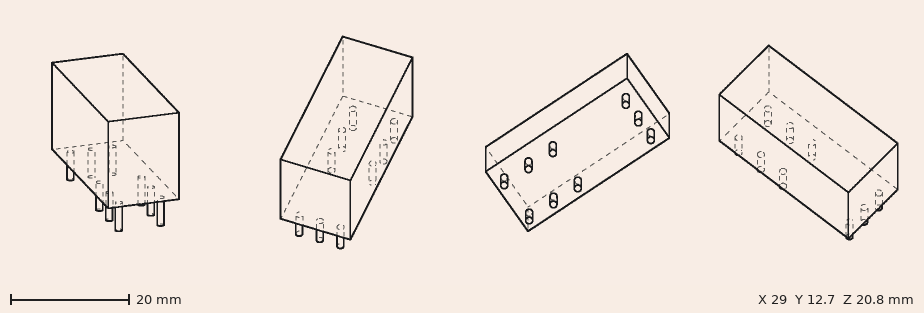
import cadquery as cq

housing_length = 29.0
housing_width = 12.7
overall_height = 20.8
pin_length = 5.05
housing_height = overall_height - pin_length

pin_diameter = 1.2
column_pitch = 5.0
pair_count = 3
column_span = 5 * column_pitch
row_pitch = 3.75
end_column_x = column_span / 2

outer_rows = [-row_pitch, row_pitch]
all_rows = [-row_pitch, 0, row_pitch]
pair_columns = [end_column_x - i * column_pitch for i in range(pair_count)]

pin_positions = [(-end_column_x, y) for y in all_rows]
pin_positions += [(x, y) for x in pair_columns for y in outer_rows]


def make_housing():
    """Solid block with its underside at Z = 0."""
    return cq.Workplane("XY").box(
        housing_length, housing_width, housing_height, centered=(True, True, False)
    )


def make_pin(x, y):
    """Round pin hanging from the underside of the housing."""
    return cq.Workplane("XY").center(x, y).circle(pin_diameter / 2).extrude(-pin_length)


housing = make_housing()
pins = [make_pin(x, y) for x, y in pin_positions]

result = cq.Compound.makeCompound([housing.val(), *[pin.val() for pin in pins]])